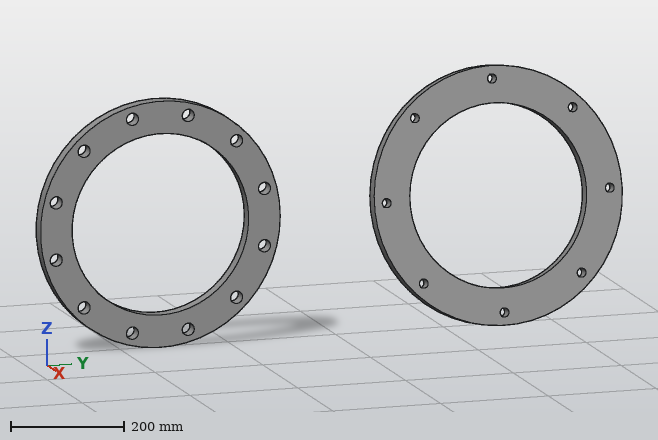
import cadquery as cq

bore_diameter = 327.5
thickness = 26.0

upright_diameter = 445.0
upright_bolt_circle = 400.0
upright_hole_diameter = 22.0
upright_hole_count = 12

tilted_diameter = 460.0
tilted_bolt_circle = 414.0
tilted_hole_diameter = 16.0
tilted_hole_count = 8
tilt_angle = 10.0
tilted_centre = (1183.89, 246.8, 276.9)


def flange_ring(outer_diameter, bolt_circle, hole_diameter, hole_count, first_hole_angle):
    """Flat ring with its axis along X, centred on the origin, with evenly spaced bolt holes."""
    back_plane = cq.Workplane("YZ", origin=(-thickness / 2, 0, 0))
    ring = back_plane.circle(outer_diameter / 2).circle(bore_diameter / 2).extrude(thickness)
    holes = (
        back_plane.polarArray(bolt_circle / 2, first_hole_angle, 360, hole_count)
        .circle(hole_diameter / 2)
        .extrude(thickness)
    )
    return ring.cut(holes)


half_hole_pitch = 360 / upright_hole_count / 2
upright_flange = flange_ring(
    upright_diameter,
    upright_bolt_circle,
    upright_hole_diameter,
    upright_hole_count,
    half_hole_pitch,
).translate((thickness / 2, 0, 0))

tilted_flange = (
    flange_ring(
        tilted_diameter,
        tilted_bolt_circle,
        tilted_hole_diameter,
        tilted_hole_count,
        0,
    )
    .rotate((0, 0, 0), (0, 1, 0), -tilt_angle)
    .translate(tilted_centre)
)

result = cq.Compound.makeCompound([upright_flange.val(), tilted_flange.val()])